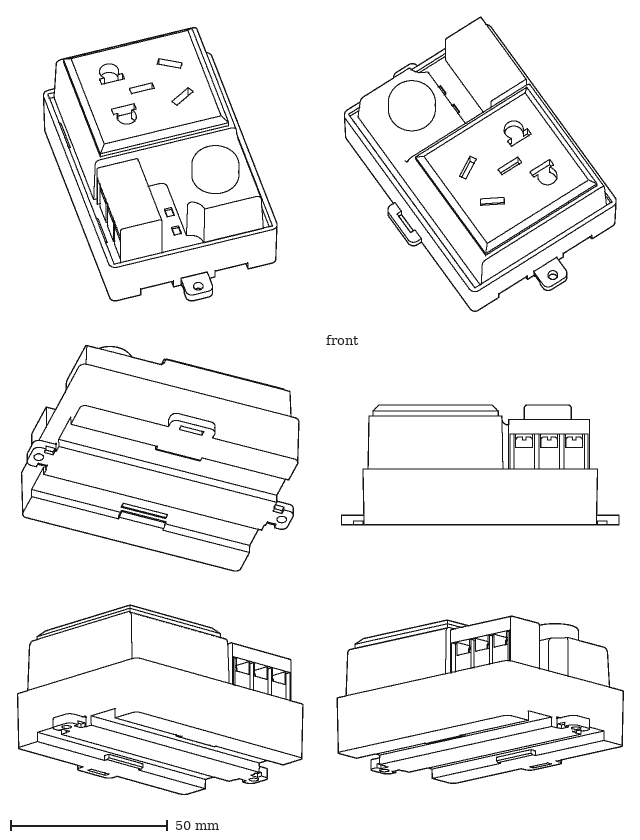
import cadquery as cq
import math

lug_span = 88.6
total_width = 59.5
total_height = 38.3
base_draft = 1.2
hump_end_draft = 1.0
box_end_draft = 2.5
cover_side_draft = 2.0

rim_length = 74.95
rim_width = 56.2
rim_height = 17.9
base_corner = 2.2
cavity_length = 72.0
cavity_front_y = -26.45
cavity_back_y = 25.9
cavity_back_rim_y = 26.4
foot_height = 3.1
floor_thickness = 1.6
floor_top = foot_height + floor_thickness

channel_outer_y = 17.9
channel_inner_y = 6.9
hook_width = 15.1
ridge_y = -14.6
ridge_width = 1.95
ridge_height = 0.5

lug_width = 8.9
lug_corner = 2.0
lug_hole_x = 41.4
lug_hole_diameter = 3.0
lug_bevel = 0.5
lug_notch_end_x = 40.5
lug_notch_height = 1.2
lug_notch_depth = 1.8

tab_end_y = total_width - rim_width / 2
tab_slot_length = 7.7
tab_slot_end_y = 29.4

snap_spacing = 40.3
snap_length = 10.0
snap_depth = 1.1

deck_top = 15.4
deck_thickness = 1.6
hump_left_x = -35.9
hump_right_x = 7.3
cover_front_y = -24.45
cover_back_y = 23.88
hump_top = 34.8
edge_round = 1.8

box_right_x = 34.4
box_front_y = -0.4
box_top = 32.0
box_corner_cut = 4.4
inner_round = 1.9

terminal_center = (22.0, -17.055)
terminal_length = 25.9
terminal_width = 13.7
terminal_top = 33.7
terminal_cap_bottom = 29.0
terminal_round = 0.7
terminal_wall = 0.4
terminal_front_inset = 0.5
pole_count = 3
pole_pitch = 8.0
pole_width = 6.6
pole_gap_depth = 3.5
screw_diameter = 5.3
screw_seat = 24.7
screw_top = 28.1
screw_round = 1.1
screw_slot_width = 1.1
screw_slot_depth = 1.1
screw_pocket_width = 5.5

window_size = (3.2, 2.3)
window_centers = [(19.2, -2.8), (26.9, -2.8)]
window_depth = 0.9

socket_center = (-14.3, -0.35)
socket_length = 40.05
socket_width = 42.9
socket_chamfer = 1.95
pin_depth = 4.4
socket_floor = 1.6
socket_seat = total_height - pin_depth - socket_floor
blade_length = 7.6
blade_width = 2.2
earth_blade_y = -1.4
slanted_blade = (7.0, 10.0)
slanted_blade_tilt = 30.0
flat_blade = (6.4, -9.4)
round_pin_x = 9.6
round_pin_diameter = 6.1

button_center = (21.5, 11.8)
button_diameter = 15.1
button_round = 1.0


def block(x_range, y_range, z_range):
    """Axis-aligned box between the given limits."""
    x0, x1 = x_range
    y0, y1 = y_range
    z0, z1 = z_range
    return cq.Workplane("XY").box(x1 - x0, y1 - y0, z1 - z0, centered=False).translate((x0, y0, z0))


def trapezoid(low, high, height, lean_angle):
    """Outline standing on the deck, with both flanks leaning inwards."""
    lean = height * math.tan(math.radians(lean_angle))
    return [
        (low, deck_top),
        (high, deck_top),
        (high - lean, deck_top + height),
        (low + lean, deck_top + height),
    ]


def prism_along_x(points, length, center_x=0.0):
    """Outline of (y, z) points extruded along X about center_x."""
    return cq.Workplane("YZ", origin=(center_x, 0, 0)).polyline(points).close().extrude(length / 2, both=True)


def base_shell():
    shell = (
        cq.Workplane("XY", origin=(0, 0, rim_height))
        .sketch().rect(rim_length, rim_width).vertices().fillet(base_corner).finalize()
        .extrude(-rim_height, taper=base_draft)
    )
    cavity = prism_along_x(
        [
            (cavity_front_y, floor_top),
            (cavity_back_y, floor_top),
            (cavity_back_y, deck_top),
            (cavity_back_rim_y, rim_height),
            (cavity_front_y, rim_height),
        ],
        cavity_length,
    )
    return shell.cut(cavity)


def rail_channel(side):
    y_range = sorted((side * channel_inner_y, side * channel_outer_y))
    return block((-rim_length / 2, rim_length / 2), y_range, (0, foot_height))


def rail_hook(side, reach, top, tip_height, bevel):
    """Hook on the outer wall of a rail channel, bevelled underneath."""
    wall_y = side * channel_outer_y
    tip_y = side * (channel_outer_y - reach)
    outline = [(wall_y, 0), (wall_y, top), (tip_y, top), (tip_y, tip_height), (tip_y + side * bevel, 0)]
    return prism_along_x(outline, hook_width)


def channel_ridge():
    outline = [
        (ridge_y - ridge_width / 2, foot_height),
        (ridge_y, foot_height - ridge_height),
        (ridge_y + ridge_width / 2, foot_height),
    ]
    return prism_along_x(outline, hook_width)


def screw_lug():
    """Lug on the -X end, with its hole and the notches under its sides."""
    end_x = -lug_span / 2
    root_x = -cavity_length / 2
    lug = block((end_x, root_x), (-lug_width / 2, lug_width / 2), (0, foot_height))
    lug = lug.edges("|Z and <X").fillet(lug_corner)
    hole = cq.Workplane("XY").center(-lug_hole_x, 0).circle(lug_hole_diameter / 2).extrude(foot_height)
    lug = lug.cut(hole)
    wall_x = -rim_length / 2
    for side in (-1, 1):
        y_range = sorted((side * lug_width / 2, side * (lug_width / 2 - lug_notch_depth)))
        lug = lug.cut(block((-lug_notch_end_x, wall_x), y_range, (0, lug_notch_height)))
    return lug


def lug_wall_bevel():
    """Wedge removed from the -X wall just above the lug."""
    wall_x = -rim_length / 2 + (rim_height - foot_height) * math.tan(math.radians(base_draft))
    outline = [
        (wall_x - lug_bevel, foot_height),
        (wall_x + lug_bevel, foot_height),
        (wall_x, foot_height + lug_bevel),
        (wall_x - lug_bevel, foot_height + lug_bevel),
    ]
    return cq.Workplane("XZ").polyline(outline).close().extrude(lug_width / 2, both=True)


def pull_tab():
    tab = block((-hook_width / 2, hook_width / 2), (cavity_back_y, tab_end_y), (0, foot_height))
    tab = tab.edges("|Z and >Y").fillet(lug_corner)
    slot_start_y = rim_width / 2 - rim_height * math.tan(math.radians(base_draft))
    half_slot = tab_slot_length / 2
    return tab.cut(block((-half_slot, half_slot), (slot_start_y, tab_slot_end_y), (0, foot_height)))


def snap_wedge(center_x):
    """Wedge on the inside of the -Y wall that holds the cover down."""
    outline = [
        (cavity_front_y, deck_top),
        (cavity_front_y + snap_depth, deck_top),
        (cavity_front_y, deck_top + snap_depth),
    ]
    return prism_along_x(outline, snap_length, center_x)


def make_base():
    base = base_shell()
    for side in (-1, 1):
        base = base.cut(rail_channel(side))
    base = base.union(rail_hook(1, reach=2.0, top=1.6, tip_height=0.4, bevel=0.8))
    base = base.union(rail_hook(-1, reach=2.75, top=1.3, tip_height=0.8, bevel=1.95))
    base = base.union(channel_ridge())
    base = base.cut(lug_wall_bevel()).cut(lug_wall_bevel().mirror("YZ"))
    base = base.union(screw_lug()).union(screw_lug().mirror("YZ"))
    base = base.union(pull_tab())
    for side in (-1, 1):
        base = base.union(snap_wedge(side * snap_spacing / 2))
    return base


def rounded_ridge(front_y, back_y, top):
    """Long ridge along X with drafted sides and rounded upper edges."""
    outline = trapezoid(front_y, back_y, top - deck_top, cover_side_draft)
    return prism_along_x(outline, 2 * lug_span).faces(">Z").edges("|X").fillet(edge_round)


def drafted_ends(x_range, top, end_draft):
    """Long bar along Y that limits a ridge to x_range, with drafted ends."""
    outline = trapezoid(*x_range, top - deck_top, end_draft)
    return cq.Workplane("XZ").polyline(outline).close().extrude(lug_span, both=True)


def humps():
    """Socket hump and the lower button box, joined by a concave round."""
    long_back_y = cover_back_y + 3 * inner_round
    hump = rounded_ridge(cover_front_y, long_back_y, hump_top)
    hump = hump.intersect(drafted_ends((hump_left_x, hump_right_x), hump_top, hump_end_draft))
    hump_middle_x = (hump_left_x + hump_right_x) / 2
    box = rounded_ridge(box_front_y, cover_back_y, box_top)
    box = box.intersect(drafted_ends((hump_middle_x, box_right_x), box_top, box_end_draft))
    seam = cq.selectors.BoxSelector(
        (hump_right_x - 0.9, box_front_y - 0.9, deck_top + 0.9),
        (hump_right_x + 0.4, cover_back_y + 0.9, box_top + 0.4),
    )
    joined = hump.union(box).edges(seam).fillet(inner_round)
    joined = joined.intersect(rounded_ridge(cover_front_y - inner_round, cover_back_y, hump_top))
    corner = (
        cq.Workplane("XY", origin=(box_right_x, box_front_y, deck_top))
        .circle(box_corner_cut).extrude(box_top - deck_top, taper=-cover_side_draft)
    )
    return joined.cut(corner)


def terminal_screw(x, y):
    screw = cq.Workplane("XY", origin=(x, y, screw_seat)).circle(screw_diameter / 2)
    screw = screw.extrude(screw_top - screw_seat).faces(">Z").edges().fillet(screw_round)
    half_slot = screw_slot_width / 2
    reach = screw_diameter / 2
    slot = block((x - half_slot, x + half_slot), (y - reach, y + reach), (screw_top - screw_slot_depth, screw_top))
    return screw.cut(slot)


def terminals():
    """Capped terminal block with one open pocket and screw for each pole."""
    center_x, center_y = terminal_center
    left_x = center_x - terminal_length / 2
    right_x = center_x + terminal_length / 2
    front_y = center_y - terminal_width / 2
    back_y = center_y + terminal_width / 2
    pole_front_y = front_y + terminal_front_inset
    gap_back_y = pole_front_y + pole_gap_depth

    body = block((left_x, right_x), (front_y, back_y), (terminal_cap_bottom, terminal_top))
    body = body.faces(">Z").edges("|X").fillet(terminal_round)
    body = body.union(block((left_x, right_x), (gap_back_y, back_y), (deck_top, terminal_cap_bottom)))
    for wall_x in (left_x, right_x - terminal_wall):
        wall_range = (wall_x, wall_x + terminal_wall)
        body = body.union(block(wall_range, (front_y, gap_back_y), (deck_top, terminal_cap_bottom)))
    for pole in range(pole_count):
        x = center_x + (pole - (pole_count - 1) / 2) * pole_pitch
        pole_x = (x - pole_width / 2, x + pole_width / 2)
        pocket_x = (x - screw_pocket_width / 2, x + screw_pocket_width / 2)
        pocket_y = (pole_front_y, center_y + screw_pocket_width / 2)
        body = body.union(block(pole_x, (pole_front_y, back_y), (deck_top, terminal_cap_bottom)))
        body = body.cut(block(pocket_x, pocket_y, (screw_seat, terminal_cap_bottom)))
        body = body.union(terminal_screw(x, center_y))
    return body


def make_cover():
    half_length = cavity_length / 2
    cover = block((-half_length, half_length), (cavity_front_y, cavity_back_y), (deck_top - deck_thickness, deck_top))
    cover = cover.union(humps()).union(terminals())
    windows = (
        cq.Workplane("XY", origin=(0, 0, deck_top - window_depth))
        .pushPoints(window_centers).rect(*window_size).extrude(window_depth)
    )
    return cover.cut(windows).cut(socket_blank())


def socket_blank():
    blank = (
        cq.Workplane("XY", origin=(*socket_center, socket_seat))
        .rect(socket_length, socket_width).extrude(total_height - socket_seat)
    )
    return blank.faces(">Z").edges().chamfer(socket_chamfer)


def blade_opening(x, y, tilt=0.0):
    opening = cq.Workplane("XY").rect(blade_width, blade_length).extrude(pin_depth)
    return opening.rotate((0, 0, 0), (0, 0, 1), tilt).translate((x, y, 0))


def make_socket():
    openings = blade_opening(0, earth_blade_y)
    for side in (-1, 1):
        openings = openings.union(
            blade_opening(side * slanted_blade[0], slanted_blade[1], side * slanted_blade_tilt)
        )
        openings = openings.union(blade_opening(side * flat_blade[0], flat_blade[1]))
        round_pin = cq.Workplane("XY").center(side * round_pin_x, flat_blade[1])
        openings = openings.union(round_pin.circle(round_pin_diameter / 2).extrude(pin_depth))
    return socket_blank().cut(openings.translate((*socket_center, total_height - pin_depth)))


def make_button():
    button = cq.Workplane("XY", origin=(*button_center, box_top)).circle(button_diameter / 2)
    return button.extrude(total_height - box_top).faces(">Z").edges().fillet(button_round)


base = make_base()
cover = make_cover()
socket = make_socket()
button = make_button()

result = cq.Compound.makeCompound([base.val(), cover.val(), socket.val(), button.val()])